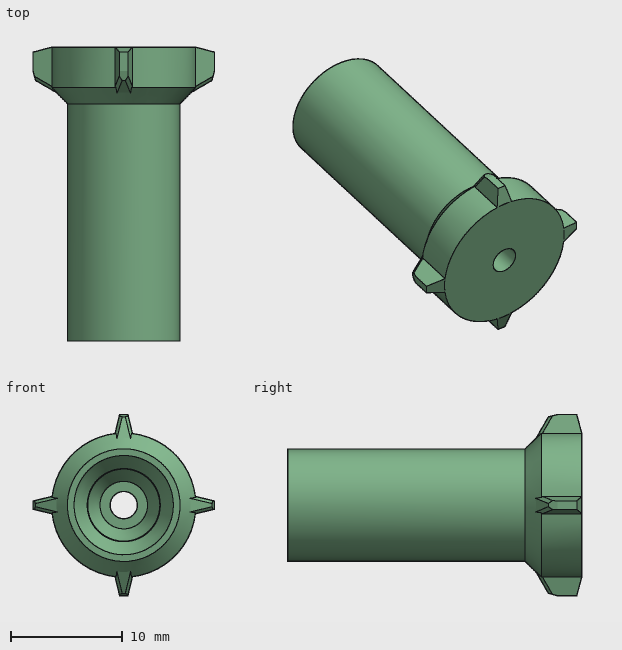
import cadquery as cq
import math

LENGTH = 26.35
TUBE_RADIUS = 5.05
HEAD_RADIUS = 6.47
HEAD_RIM_LENGTH = 3.63
HEAD_LENGTH = 5.08

MOUTH_RADIUS = 4.45
THROAT_RADIUS = 3.28
THROAT_END_RADIUS = 3.23
FLOOR_RADIUS = 2.13
HOLE_RADIUS = 1.21
MOUTH_CONE_DEPTH = 1.9
THROAT_DEPTH = 1.4
FLOOR_CONE_DEPTH = 2.25

FIN_COUNT = 4
FIN_TIP_RADIUS = 16.26 / 2
FIN_ROOT_RADIUS = 6.45
FIN_SINK_RADIUS = 5.5
FIN_TIP_WIDTH = 0.75
FIN_DRAFT = math.tan(math.radians(15))
FIN_FLANK_DRAFT = math.tan(math.radians(13.5))
FIN_RAMP = math.tan(math.radians(30))
FIN_CREST_END = 2.17
FIN_NOSE = 3.0
FIN_CHAMFER = 0.28


def make_body():
    """Revolve the tube, shoulder and head with the bore and through hole."""
    shoulder_start = -HEAD_RIM_LENGTH
    shoulder_end = -HEAD_LENGTH
    throat_start = -LENGTH + MOUTH_CONE_DEPTH
    throat_end = throat_start + THROAT_DEPTH
    floor = throat_end + FLOOR_CONE_DEPTH
    section = [
        (HOLE_RADIUS, 0),
        (HEAD_RADIUS, 0),
        (HEAD_RADIUS, shoulder_start),
        (TUBE_RADIUS, shoulder_end),
        (TUBE_RADIUS, -LENGTH),
        (MOUTH_RADIUS, -LENGTH),
        (THROAT_RADIUS, throat_start),
        (THROAT_END_RADIUS, throat_end),
        (FLOOR_RADIUS, floor),
        (HOLE_RADIUS, floor),
    ]
    return cq.Workplane("XY").polyline(section).close().revolve(360, (0, 0, 0), (0, 1, 0))


def make_fin():
    """Make the fin that points along +Z: tapered flanks, drafted crest, chamfered ramp."""
    back_setback = (FIN_TIP_RADIUS - FIN_ROOT_RADIUS) * FIN_DRAFT
    nose_radius = FIN_TIP_RADIUS - (FIN_NOSE - FIN_CREST_END) * FIN_DRAFT
    ramp_end = FIN_NOSE + (nose_radius - FIN_SINK_RADIUS) * FIN_RAMP
    half_tip = FIN_TIP_WIDTH / 2
    half_base = half_tip + (FIN_TIP_RADIUS - FIN_SINK_RADIUS) * FIN_FLANK_DRAFT

    side_profile = [
        (0, FIN_SINK_RADIUS),
        (0, FIN_ROOT_RADIUS),
        (-back_setback, FIN_TIP_RADIUS),
        (-FIN_CREST_END, FIN_TIP_RADIUS),
        (-FIN_NOSE, nose_radius),
        (-ramp_end, FIN_SINK_RADIUS),
    ]
    end_profile = [
        (-half_base, FIN_SINK_RADIUS),
        (half_base, FIN_SINK_RADIUS),
        (half_tip, FIN_TIP_RADIUS),
        (-half_tip, FIN_TIP_RADIUS),
    ]
    slab = cq.Workplane("YZ").polyline(side_profile).close().extrude(half_base, both=True)
    wedge = cq.Workplane("XZ").polyline(end_profile).close().extrude(ramp_end)
    fin = slab.intersect(wedge)

    ramp_edges = fin.faces("<Y").edges("not #Z").edges("not |X")
    return ramp_edges.chamfer(FIN_CHAMFER)


result = make_body()
fin = make_fin()
for index in range(FIN_COUNT):
    angle = index * 360 / FIN_COUNT
    result = result.union(fin.rotate((0, 0, 0), (0, 1, 0), angle))